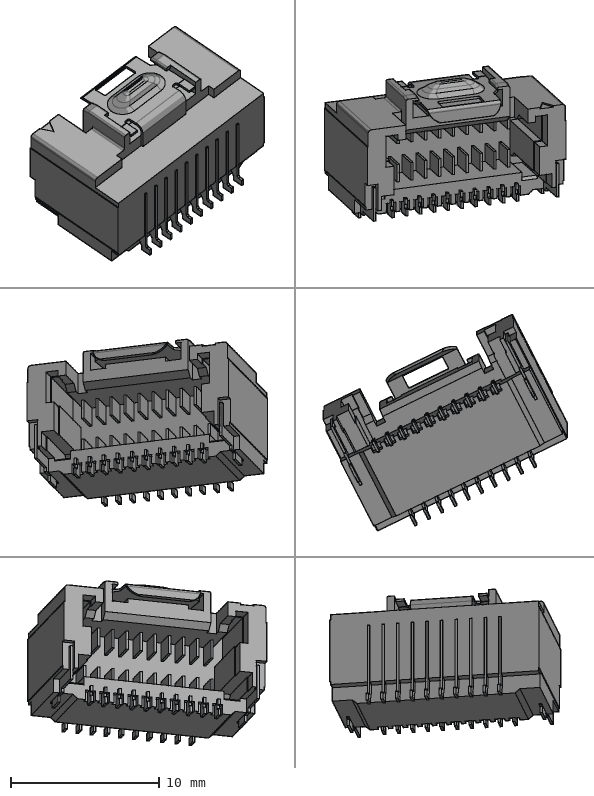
import cadquery as cq
import math


BODY_LENGTH = 8.14
BODY_HALF_WIDTH = 7.12
SIDE_PAD_HALF_WIDTH = 14.35 / 2
SIDE_PAD_BOTTOM = 1.72
SIDE_PAD_TOP = 6.17
BODY_BOTTOM = 1.49
TOP_Z = 7.37
REAR_DECK_Z = 6.55
REAR_DECK_X = 5.51
SHOULDER_X = 5.99
SHOULDER_HALF_WIDTH = 4.50
TOP_EDGE_RADIUS = 0.23
FRONT_GAP_HALF_WIDTH = 4.40
SIDE_NOTCH_DEPTH = 0.43
SIDE_NOTCH_TOP = 3.40
SIDE_NOTCH_Y = 6.43
PIN_ONE_MARK_Y = -5.78
PIN_ONE_MARK_HALF_WIDTH = 0.49
PIN_ONE_MARK_LENGTH = 0.88
PIN_ONE_MARK_DEPTH = 0.10

BASE_FRONT = 2.54
BASE_REAR = 7.52
BASE_SIDE_BOTTOM = 0.52
BASE_BOTTOM = 0.24
BASE_CHAMFER_OUTER_Y = 5.75
BASE_CHAMFER_INNER_Y = 5.42
FLOOR_Z = 1.87
FLOOR_HALF_WIDTH = 4.95
CHANNEL_FLOOR_Z = 1.44
FLOOR_RAMP_Z = 1.28
FLOOR_RAMP_LENGTH = 0.25
CONTACT_POCKET_WIDTH = 0.69
CONTACT_POCKET_TOP = 0.92
CONTACT_POCKET_DEPTH = 0.40

CAVITY_REAR = 5.45
LEAD_IN_LENGTH = 1.00
LEAD_IN_CLEARANCE = 0.06
CEILING_Z = 5.92
CEILING_FRONT_Z = 6.36
KEYWAY_TOP = 6.70
KEYWAY_BOTTOM = 4.60
KEYWAY_INNER_Y = 5.03
KEYWAY_OUTER_Y = 5.77
RAIL_Y = 5.20
RAIL_BOTTOM_FRONT = 2.49
RAIL_BOTTOM_REAR = 2.14
RAIL_STEP_X = 4.70
CHANNEL_Y = 6.09

HOOD_FRONT = 1.67
HOOD_TOP = 8.66
HOOD_HALF_WIDTH = 3.74
HOOD_INNER_Y = 3.23
HOOD_ROOF_Z = 7.17
HOOD_EDGE_RADIUS = 0.13
HOOD_ROOT_RADIUS = 0.14
LIP_BOTTOM = 8.38
LIP_INNER_Y = 2.83
LIP_REAR = 3.17
LIP_NOSE_LENGTH = 0.50
LIP_NOSE_DROP = 0.10
STOP_HALF_WIDTH = 2.14
STOP_TOP = 7.45
REAR_SILL_TOP = 7.55
REAR_SILL_THICKNESS = 1.30

LATCH_THICKNESS = 0.17
LATCH_TIP_Z = 7.22
LATCH_TIP_DROP = 0.08
LATCH_BEND_X = 0.36
LATCH_BEND_Z = 7.85
LATCH_BEND_MID_X = 0.44
LATCH_BEND_MID_Z = 7.98
LATCH_FLAT_X = 0.57
LATCH_FRONT_Z = 8.07
LATCH_REAR_Z = 8.38
LATCH_ROLL_X = 5.03
LATCH_REAR = 5.67
LATCH_ROLL_END_Z = 7.85
LATCH_EAR_REAR = 5.56
LATCH_EAR_FRONT = 4.55
LATCH_HALF_WIDTH = 3.13
LATCH_FLAP_HALF_WIDTH = 2.64
LATCH_TIP_HALF_WIDTH = 1.65
FLAP_CORNER_TOP = 8.00
FLAP_CORNER_MID_Y = 2.42
FLAP_CORNER_MID_Z = 7.56
LATCH_NECK_FRONT = 1.83
RELIEF_FRONT = 4.35
RELIEF_INNER_Y = 2.11
RELIEF_OUTER_Y = 2.55
RELIEF_CHAMFER = 0.08
WINDOW_FRONT = 0.63
WINDOW_REAR = 1.59
WINDOW_HALF_WIDTH = 1.51
WINDOW_RADIUS = 0.08
BUMP_X = 3.00
BUMP_TOP = 9.00
BUMP_SECTIONS = [
    (0.86, 2.48, 5.00),
    (0.50, 1.36, 4.04),
    (0.28, 1.02, 3.30),
    (0.06, 0.52, 2.24),
    (0.00, 0.24, 1.60),
]

CONTACT_COUNT = 10
CONTACT_PITCH = 1.00
CONTACT_THICKNESS = 0.17
BLADE_FRONT = 3.82
UPPER_BLADE_BOTTOM = 4.62
LOWER_BLADE_TOP = 3.13
EMBED = 0.20
FOOT_FRONT = 2.15
FOOT_HEIGHT = 0.47
STUB_FRONT = 2.25
STUB_BOTTOM = 0.78
STUB_TOP = 1.19
NECK_FRONT = 2.40
TAIL_FRONT = 7.65
TAIL_HEEL_X = 7.89
TAIL_BACK = 8.24
TAIL_TIP = 8.66
TAIL_TOP = 5.57
TAIL_SHOULDER_Z = 0.82
TAIL_HEEL_Z = 0.38
TAIL_FOOT_HEIGHT = 0.49
TAIL_BEND = 0.12

TAB_Y = 6.605
TAB_FRONT = 0.14
TAB_TOP = 3.11
TAB_ARM_BOTTOM = 0.72
TAB_STEP_Z = 0.45
TAB_FOOT_FRONT = 2.93
TAB_FOOT_REAR = 4.22
TAB_REAR = 4.58


def block(x0, x1, y0, y1, z0, z1):
    """Axis-aligned box between two opposite corners."""
    return cq.Workplane("XY").box(x1 - x0, y1 - y0, z1 - z0, centered=False).translate((x0, y0, z0))


def centered_block(x0, x1, half_width, z0, z1):
    """Box symmetric about the Y = 0 plane."""
    return block(x0, x1, -half_width, half_width, z0, z1)


def plate_xz(points, y_center, thickness):
    """Flat plate with an X-Z outline, centred on y_center."""
    return (
        cq.Workplane("XZ", origin=(0, y_center + thickness / 2, 0))
        .polyline(points)
        .close()
        .extrude(thickness)
    )


def both_sides(shape):
    """The shape together with its mirror image across Y = 0."""
    return shape.union(shape.mirror("XZ"))


def contact_positions():
    first = -(CONTACT_COUNT - 1) / 2 * CONTACT_PITCH
    return [first + index * CONTACT_PITCH for index in range(CONTACT_COUNT)]


def make_outer_body():
    tier = centered_block(0, SHOULDER_X, BODY_HALF_WIDTH, BODY_BOTTOM, TOP_Z)
    tier = tier.edges("|X and >Z").fillet(TOP_EDGE_RADIUS)
    rear_recess = centered_block(REAR_DECK_X, SHOULDER_X, SHOULDER_HALF_WIDTH, REAR_DECK_Z, TOP_Z)
    rear = centered_block(REAR_DECK_X, BODY_LENGTH, BODY_HALF_WIDTH, BODY_BOTTOM, REAR_DECK_Z)
    pads = centered_block(0, BODY_LENGTH, SIDE_PAD_HALF_WIDTH, SIDE_PAD_BOTTOM, SIDE_PAD_TOP)
    front_gap = centered_block(0, BASE_FRONT, FRONT_GAP_HALF_WIDTH, BODY_BOTTOM, TOP_Z)
    hood_well = centered_block(BASE_FRONT, REAR_DECK_X, HOOD_INNER_Y, HOOD_ROOF_Z, TOP_Z)
    return tier.cut(rear_recess).union(rear).union(pads).cut(front_gap).cut(hood_well)


def make_base():
    outline = [
        (-BODY_HALF_WIDTH, BODY_BOTTOM),
        (-BODY_HALF_WIDTH, BASE_SIDE_BOTTOM),
        (-BASE_CHAMFER_OUTER_Y, BASE_SIDE_BOTTOM),
        (-BASE_CHAMFER_INNER_Y, BASE_BOTTOM),
        (BASE_CHAMFER_INNER_Y, BASE_BOTTOM),
        (BASE_CHAMFER_OUTER_Y, BASE_SIDE_BOTTOM),
        (BODY_HALF_WIDTH, BASE_SIDE_BOTTOM),
        (BODY_HALF_WIDTH, BODY_BOTTOM),
    ]
    base = (
        cq.Workplane("YZ", origin=(BASE_FRONT, 0, 0))
        .polyline(outline)
        .close()
        .extrude(BASE_REAR - BASE_FRONT)
    )
    for y in contact_positions():
        base = base.cut(block(
            BASE_FRONT, BASE_FRONT + CONTACT_POCKET_DEPTH,
            y - CONTACT_POCKET_WIDTH / 2, y + CONTACT_POCKET_WIDTH / 2,
            BASE_BOTTOM, CONTACT_POCKET_TOP,
        ))
    ramp = [
        (BASE_FRONT, FLOOR_RAMP_Z),
        (BASE_FRONT + FLOOR_RAMP_LENGTH, CHANNEL_FLOOR_Z),
        (BASE_FRONT, CHANNEL_FLOOR_Z),
    ]
    ramp_width = CHANNEL_Y - FLOOR_HALF_WIDTH
    ramp_cut = plate_xz(ramp, (CHANNEL_Y + FLOOR_HALF_WIDTH) / 2, ramp_width)
    return base.cut(both_sides(ramp_cut))


def cavity_prism(length, clearance):
    """Plug-shaped opening, widened all round by the clearance."""
    half = [
        (KEYWAY_INNER_Y - clearance, CEILING_FRONT_Z),
        (KEYWAY_INNER_Y - clearance, KEYWAY_TOP + clearance),
        (KEYWAY_OUTER_Y + clearance, KEYWAY_TOP + clearance),
        (KEYWAY_OUTER_Y + clearance, KEYWAY_BOTTOM - clearance),
        (RAIL_Y + clearance, KEYWAY_BOTTOM - clearance),
        (RAIL_Y + clearance, RAIL_BOTTOM_FRONT),
        (CHANNEL_Y + clearance, RAIL_BOTTOM_FRONT),
        (CHANNEL_Y + clearance, CHANNEL_FLOOR_Z),
    ]
    mirrored = [(-y, z) for y, z in reversed(half)]
    return cq.Workplane("YZ").polyline(half + mirrored).close().extrude(length)


def make_cavity():
    cavity = cavity_prism(CAVITY_REAR, 0).union(cavity_prism(LEAD_IN_LENGTH, LEAD_IN_CLEARANCE))

    drop = CEILING_FRONT_Z - CEILING_Z
    ceiling = plate_xz(
        [
            (HOOD_FRONT, CEILING_FRONT_Z),
            (HOOD_FRONT + drop, CEILING_Z),
            (CAVITY_REAR, CEILING_Z),
            (CAVITY_REAR, CEILING_FRONT_Z),
        ],
        0, 2 * KEYWAY_INNER_Y,
    )

    rail_drop = RAIL_BOTTOM_FRONT - RAIL_BOTTOM_REAR
    rail = plate_xz(
        [
            (RAIL_STEP_X, RAIL_BOTTOM_FRONT),
            (RAIL_STEP_X + rail_drop, RAIL_BOTTOM_REAR),
            (CAVITY_REAR, RAIL_BOTTOM_REAR),
            (CAVITY_REAR, RAIL_BOTTOM_FRONT),
        ],
        (RAIL_Y + CHANNEL_Y) / 2, CHANNEL_Y - RAIL_Y,
    )

    floor = centered_block(BASE_FRONT, CAVITY_REAR, FLOOR_HALF_WIDTH, CHANNEL_FLOOR_Z, FLOOR_Z)
    return cavity.cut(ceiling).cut(both_sides(rail)).cut(floor)


def make_side_notches():
    return both_sides(block(
        0, SIDE_NOTCH_DEPTH, SIDE_NOTCH_Y, SIDE_PAD_HALF_WIDTH, BODY_BOTTOM, SIDE_NOTCH_TOP,
    ))


def make_pin_one_mark():
    return (
        cq.Workplane("XY", origin=(0, 0, TOP_Z - PIN_ONE_MARK_DEPTH))
        .polyline([
            (0, PIN_ONE_MARK_Y - PIN_ONE_MARK_HALF_WIDTH),
            (PIN_ONE_MARK_LENGTH, PIN_ONE_MARK_Y),
            (0, PIN_ONE_MARK_Y + PIN_ONE_MARK_HALF_WIDTH),
        ])
        .close()
        .extrude(PIN_ONE_MARK_DEPTH)
    )


def hood_bar(inner_y, bottom_z, rear_x):
    """Lengthwise bar of the +Y arm, with a sloped nose at the front of its top."""
    outline = [
        (HOOD_FRONT, bottom_z),
        (HOOD_FRONT, HOOD_TOP - LIP_NOSE_DROP),
        (HOOD_FRONT + LIP_NOSE_LENGTH, HOOD_TOP),
        (rear_x, HOOD_TOP),
        (rear_x, bottom_z),
    ]
    return plate_xz(outline, (inner_y + HOOD_HALF_WIDTH) / 2, HOOD_HALF_WIDTH - inner_y)


def round_top_edge(bar, y):
    """Round the lengthwise top edges of a hood bar that lie at the given Y."""
    margin = 0.01
    top_edges = cq.selectors.BoxSelector(
        (HOOD_FRONT, y - margin, HOOD_TOP - LIP_NOSE_DROP),
        (REAR_DECK_X - margin, y + margin, HOOD_TOP + margin),
    )
    return bar.edges(top_edges).fillet(HOOD_EDGE_RADIUS)


def make_hood_arm():
    """Arm on the +Y side: a full-length post with a wide lip at its front."""
    post = round_top_edge(hood_bar(HOOD_INNER_Y, CEILING_Z, REAR_DECK_X), HOOD_HALF_WIDTH)
    lip = hood_bar(LIP_INNER_Y, LIP_BOTTOM, LIP_REAR)
    lip = round_top_edge(lip, HOOD_HALF_WIDTH)
    lip = round_top_edge(lip, LIP_INNER_Y)
    return post.union(lip)


def make_hood_root():
    """Concave fillet between the +Y arm and the housing top."""
    return (
        cq.Workplane("YZ", origin=(BASE_FRONT, HOOD_HALF_WIDTH, TOP_Z))
        .lineTo(0, HOOD_ROOT_RADIUS)
        .radiusArc((HOOD_ROOT_RADIUS, 0), -HOOD_ROOT_RADIUS)
        .close()
        .extrude(REAR_DECK_X - BASE_FRONT)
    )


def make_hood():
    drop = CEILING_FRONT_Z - CEILING_Z
    roof = plate_xz(
        [
            (HOOD_FRONT, CEILING_FRONT_Z),
            (HOOD_FRONT + drop, CEILING_Z),
            (REAR_DECK_X, CEILING_Z),
            (REAR_DECK_X, HOOD_ROOF_Z),
            (HOOD_FRONT, HOOD_ROOF_Z),
        ],
        0, 2 * HOOD_HALF_WIDTH,
    )
    underside = plate_xz(
        [(HOOD_FRONT, CEILING_Z), (HOOD_FRONT, CEILING_FRONT_Z), (HOOD_FRONT + drop, CEILING_Z)],
        0, 2 * HOOD_HALF_WIDTH,
    )
    stop = centered_block(HOOD_FRONT, REAR_DECK_X, STOP_HALF_WIDTH, HOOD_ROOF_Z, STOP_TOP)
    sill = centered_block(
        REAR_DECK_X - REAR_SILL_THICKNESS, REAR_DECK_X, HOOD_INNER_Y, HOOD_ROOF_Z, REAR_SILL_TOP,
    )
    arms = both_sides(make_hood_arm()).cut(underside)
    return roof.union(arms).union(stop).union(sill).union(both_sides(make_hood_root()))


def make_latch_strip():
    """Bent sheet strip: sloped front flap, flat top and a rear roll down to the deck."""
    t = LATCH_THICKNESS
    roll_rise = LATCH_REAR_Z - LATCH_ROLL_END_Z
    roll_run = LATCH_REAR - LATCH_ROLL_X
    diagonal = math.sqrt(0.5)
    outer_mid = (LATCH_ROLL_X + roll_run * diagonal, LATCH_ROLL_END_Z + roll_rise * diagonal)
    inner_mid = (
        LATCH_ROLL_X + (roll_run - t) * diagonal,
        LATCH_ROLL_END_Z + (roll_rise - t) * diagonal,
    )
    return (
        cq.Workplane("XZ", origin=(0, LATCH_HALF_WIDTH, 0))
        .moveTo(0, LATCH_TIP_Z)
        .lineTo(LATCH_BEND_X, LATCH_BEND_Z)
        .threePointArc((LATCH_BEND_MID_X, LATCH_BEND_MID_Z), (LATCH_FLAT_X, LATCH_FRONT_Z))
        .lineTo(LATCH_ROLL_X, LATCH_REAR_Z)
        .threePointArc(outer_mid, (LATCH_REAR, LATCH_ROLL_END_Z))
        .lineTo(LATCH_REAR, REAR_DECK_Z)
        .lineTo(LATCH_REAR - t, REAR_DECK_Z)
        .lineTo(LATCH_REAR - t, LATCH_ROLL_END_Z)
        .threePointArc(inner_mid, (LATCH_ROLL_X, LATCH_REAR_Z - t))
        .lineTo(LATCH_FLAT_X, LATCH_FRONT_Z - t)
        .lineTo(LATCH_BEND_X + t, LATCH_BEND_Z - LATCH_TIP_DROP)
        .lineTo(t, LATCH_TIP_Z - LATCH_TIP_DROP)
        .close()
        .extrude(2 * LATCH_HALF_WIDTH)
    )


def make_latch_outline():
    """Plan shape of the latch without its rear ears."""
    height = BUMP_TOP - REAR_DECK_Z
    shoulder = LATCH_HALF_WIDTH - LATCH_FLAP_HALF_WIDTH
    neck = (
        cq.Workplane("XY", origin=(0, 0, REAR_DECK_Z))
        .moveTo(0, -LATCH_FLAP_HALF_WIDTH)
        .lineTo(LATCH_NECK_FRONT, -LATCH_FLAP_HALF_WIDTH)
        .lineTo(LATCH_NECK_FRONT + shoulder, -LATCH_HALF_WIDTH)
        .lineTo(LATCH_EAR_FRONT, -LATCH_HALF_WIDTH)
        .lineTo(LATCH_EAR_FRONT, -RELIEF_INNER_Y)
        .lineTo(LATCH_REAR, -RELIEF_INNER_Y)
        .lineTo(LATCH_REAR, 0)
        .lineTo(0, 0)
        .close()
        .extrude(height)
    )
    relief = (
        block(RELIEF_FRONT, LATCH_REAR, RELIEF_INNER_Y, RELIEF_OUTER_Y, REAR_DECK_Z, BUMP_TOP)
        .edges("|Z and <X")
        .chamfer(RELIEF_CHAMFER)
    )
    window = (
        centered_block(WINDOW_FRONT, WINDOW_REAR, WINDOW_HALF_WIDTH, REAR_DECK_Z, BUMP_TOP)
        .edges("|Z")
        .fillet(WINDOW_RADIUS)
    )
    return both_sides(neck).cut(both_sides(relief)).cut(window)


def make_flap_corner():
    """Material trimmed from the +Y lower corner of the front flap."""
    tip_z = LATCH_TIP_Z - LATCH_TIP_DROP
    return (
        cq.Workplane("YZ")
        .moveTo(LATCH_FLAP_HALF_WIDTH, FLAP_CORNER_TOP)
        .threePointArc((FLAP_CORNER_MID_Y, FLAP_CORNER_MID_Z), (LATCH_TIP_HALF_WIDTH, tip_z))
        .lineTo(LATCH_FLAP_HALF_WIDTH, tip_z)
        .close()
        .extrude(WINDOW_FRONT)
    )


def make_latch_bump():
    """Rounded thumb bump running along Y."""
    base_drop = BUMP_SECTIONS[0][0]
    bump = cq.Workplane("XY", origin=(BUMP_X, 0, BUMP_TOP - base_drop))
    level = base_drop
    for drop, width, length in BUMP_SECTIONS:
        bump = bump.workplane(offset=level - drop).slot2D(length, width, 90)
        level = drop
    slope = math.degrees(math.atan2(LATCH_REAR_Z - LATCH_FRONT_Z, LATCH_ROLL_X - LATCH_FLAT_X))
    pivot_x = BUMP_X + BUMP_SECTIONS[-1][1] / 2
    axis_start = (pivot_x, 0, BUMP_TOP)
    axis_end = (pivot_x, 1, BUMP_TOP)
    return bump.loft(ruled=True).rotate(axis_start, axis_end, -slope)


def make_latch():
    ear = block(
        LATCH_EAR_FRONT, LATCH_EAR_REAR, RELIEF_OUTER_Y, LATCH_HALF_WIDTH,
        LATCH_REAR_Z - LATCH_THICKNESS, LATCH_REAR_Z,
    )
    strip = make_latch_strip().intersect(make_latch_outline()).cut(both_sides(make_flap_corner()))
    return strip.union(both_sides(ear)).union(make_latch_bump())


def make_contact(y):
    upper_blade = block(
        BLADE_FRONT, CAVITY_REAR + EMBED, y - CONTACT_THICKNESS / 2, y + CONTACT_THICKNESS / 2,
        UPPER_BLADE_BOTTOM, CEILING_Z + EMBED,
    )
    lower_blade = block(
        BLADE_FRONT, CAVITY_REAR + EMBED, y - CONTACT_THICKNESS / 2, y + CONTACT_THICKNESS / 2,
        FLOOR_Z - EMBED, LOWER_BLADE_TOP,
    )
    pocket_rear = BASE_FRONT + CONTACT_POCKET_DEPTH
    front_foot = plate_xz(
        [
            (FOOT_FRONT, 0),
            (FOOT_FRONT, FOOT_HEIGHT),
            (NECK_FRONT, FOOT_HEIGHT),
            (NECK_FRONT, STUB_BOTTOM),
            (STUB_FRONT, STUB_BOTTOM),
            (STUB_FRONT, STUB_TOP),
            (pocket_rear + EMBED, STUB_TOP),
            (pocket_rear + EMBED, FOOT_HEIGHT),
            (pocket_rear, 0),
        ],
        y, CONTACT_THICKNESS,
    )
    tail = plate_xz(
        [
            (TAIL_FRONT, BODY_BOTTOM + EMBED),
            (TAIL_FRONT, TAIL_SHOULDER_Z),
            (TAIL_HEEL_X, TAIL_HEEL_Z),
            (TAIL_HEEL_X, 0),
            (TAIL_TIP, 0),
            (TAIL_TIP, TAIL_FOOT_HEIGHT),
            (TAIL_BACK + TAIL_BEND, TAIL_FOOT_HEIGHT),
            (TAIL_BACK, TAIL_FOOT_HEIGHT + TAIL_BEND),
            (TAIL_BACK, TAIL_TOP),
            (BODY_LENGTH - EMBED, TAIL_TOP),
            (BODY_LENGTH - EMBED, BODY_BOTTOM + EMBED),
        ],
        y, CONTACT_THICKNESS,
    )
    return upper_blade.union(lower_blade).union(front_foot).union(tail)


def make_solder_tab():
    outline = [
        (TAB_FRONT, TAB_TOP),
        (TAB_FRONT, TAB_ARM_BOTTOM),
        (FOOT_FRONT, TAB_ARM_BOTTOM),
        (FOOT_FRONT, TAB_STEP_Z),
        (TAB_FOOT_FRONT, TAB_STEP_Z),
        (TAB_FOOT_FRONT, 0),
        (TAB_FOOT_REAR, 0),
        (TAB_FOOT_REAR, TAB_STEP_Z),
        (TAB_REAR, TAB_STEP_Z),
        (TAB_REAR, TAB_TOP),
    ]
    return plate_xz(outline, TAB_Y, CONTACT_THICKNESS)


housing = make_outer_body().union(make_base()).cut(make_cavity())
housing = housing.cut(make_side_notches()).cut(make_pin_one_mark())

result = housing.union(make_hood()).union(make_latch()).union(both_sides(make_solder_tab()))
for contact_y in contact_positions():
    result = result.union(make_contact(contact_y))